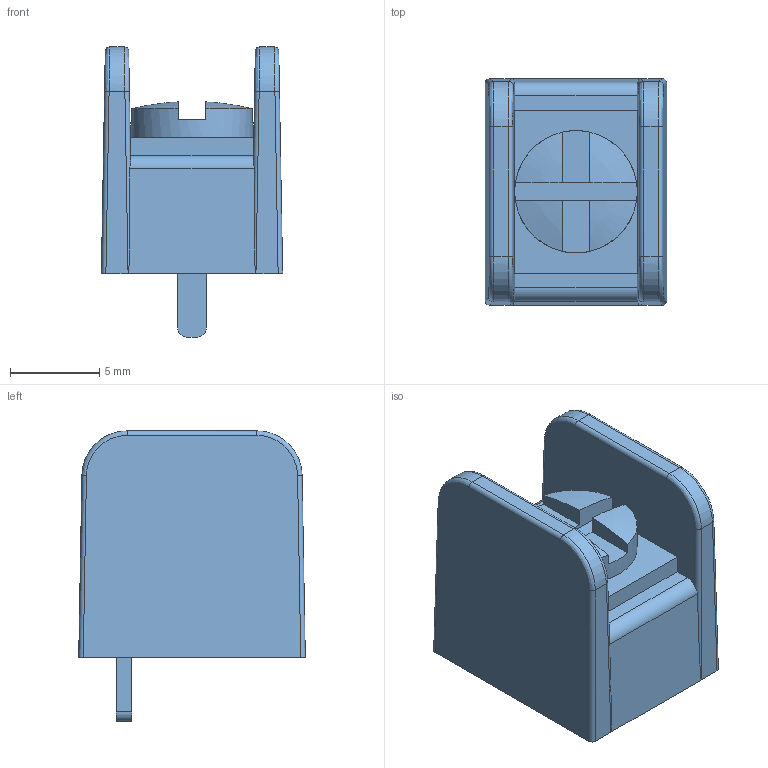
import cadquery as cq
import math

length_x = 10.16
width_y = 12.7
wall_height = 12.7
total_height = 16.26

wall_base_thickness = 1.75
wall_draft = 1.0
wall_corner_radius = 2.54
wall_edge_radius = 0.254

body_height = 6.604
body_draft = 2.0
body_edge_radius = 0.762

plate_top = 7.62
plate_width_y = 9.14

screw_diameter = 6.86
screw_rim_height = 9.23
screw_crown_height = 9.652
slot_y_width = 1.524
slot_y_floor = 8.636
slot_x_width = 1.016
slot_x_floor = 8.44

pin_width_x = 1.626
pin_thickness_y = 0.8636
pin_length = total_height - wall_height
pin_y = 3.81
pin_tip_radius = 0.508


def trapezoid(plane, base_half, top_half, height):
    """Symmetric trapezoid standing on z = 0."""
    return (
        cq.Workplane(plane)
        .moveTo(-base_half, 0)
        .lineTo(base_half, 0)
        .lineTo(top_half, height)
        .lineTo(-top_half, height)
        .close()
    )


def make_wall(side):
    """Drafted wall with rounded top corners and edges; side is +1 or -1 along X."""
    inset = wall_height * math.tan(math.radians(wall_draft))
    center_x = side * (length_x - wall_base_thickness) / 2
    half_width = width_y / 2
    half_thickness = wall_base_thickness / 2

    outline = trapezoid("YZ", half_width, half_width - inset, wall_height)
    wall = outline.extrude(half_thickness, both=True)
    wall = wall.edges("|X and >Z").fillet(wall_corner_radius)

    wedge = trapezoid("XZ", half_thickness, half_thickness - inset, wall_height)
    wall = wall.intersect(wedge.extrude(half_width, both=True))

    wall = wall.faces("<X or >X").edges("not <Z").fillet(wall_edge_radius)
    return wall.translate((center_x, 0, 0))


def make_body():
    """Block between the walls, reaching the middle of each wall."""
    inset = body_height * math.tan(math.radians(body_draft))
    half_width = width_y / 2
    half_length = (length_x - wall_base_thickness) / 2
    outline = trapezoid("YZ", half_width, half_width - inset, body_height)
    body = outline.extrude(half_length, both=True)
    return body.edges("|X and >Z").fillet(body_edge_radius)


def make_plate():
    """Clamp plate, reaching the middle of each wall."""
    plate_length = length_x - wall_base_thickness
    plate = cq.Workplane("XY").workplane(offset=body_height)
    return plate.rect(plate_length, plate_width_y).extrude(plate_top - body_height)


def slot_cutter(size_x, size_y, floor):
    """Box that cuts a screw slot down to the floor height."""
    cutter = cq.Workplane("XY").workplane(offset=floor)
    return cutter.rect(size_x, size_y).extrude(screw_crown_height - floor)


def make_screw():
    """Domed screw head with a deep slot along X and a shallower one along Y."""
    radius = screw_diameter / 2
    rise = screw_crown_height - screw_rim_height
    dome_radius = (radius**2 + rise**2) / (2 * rise)
    mid_x = radius / 2
    mid_z = screw_crown_height - dome_radius + math.sqrt(dome_radius**2 - mid_x**2)
    head = (
        cq.Workplane("XZ")
        .moveTo(0, plate_top)
        .lineTo(radius, plate_top)
        .lineTo(radius, screw_rim_height)
        .threePointArc((mid_x, mid_z), (0, screw_crown_height))
        .close()
        .revolve(360, (0, 0, 0), (0, 1, 0))
    )
    head = head.cut(slot_cutter(slot_y_width, screw_diameter, slot_y_floor))
    return head.cut(slot_cutter(screw_diameter, slot_x_width, slot_x_floor))


def make_pin():
    """Flat pin hanging from the base with rounded tip corners."""
    pin = (
        cq.Workplane("XY")
        .center(0, pin_y)
        .rect(pin_width_x, pin_thickness_y)
        .extrude(-pin_length)
    )
    return pin.edges("|Y and <Z").fillet(pin_tip_radius)


result = make_body().union(make_plate())
for wall_side in (-1, 1):
    result = result.union(make_wall(wall_side))
result = result.union(make_screw()).union(make_pin())